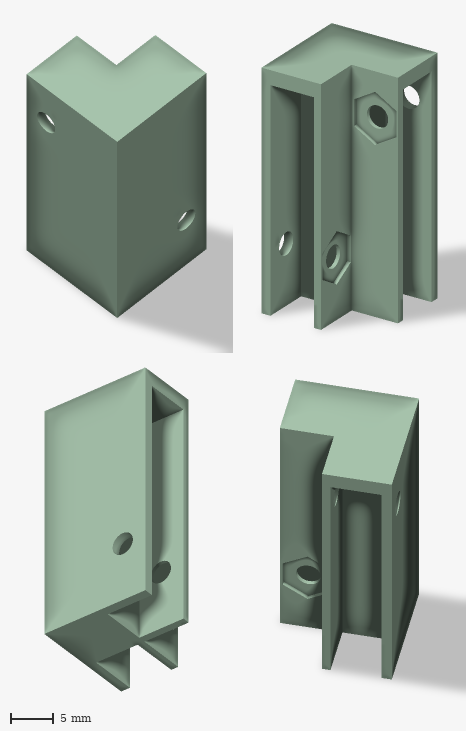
import cadquery as cq

side = 15.0
height = 32.0
arm = 8.45
notch = side - arm

outer_wall = 1.28
inner_wall = 1.02
slot_width = arm - outer_wall - inner_wall
slot_depth = notch
roof = 1.95

hole_diameter = 3.0
x_arm_hole_inset = 3.23
x_arm_hole_z = 25.85
y_arm_hole_inset = 3.35
y_arm_hole_z = 8.1

nut_across_corners = 6.95
nut_depth = 0.5


def l_block():
    block = cq.Workplane("XY").box(side, side, height, centered=False)
    corner = cq.Workplane("XY").box(notch, notch, height, centered=False)
    return block.cut(corner.translate((0, arm, 0)))


def arm_openings(hole_inset, hole_z):
    """Slot, screw hole and nut recess of the arm that ends at X = 0."""
    slot = cq.Workplane("XY").box(slot_depth, slot_width, height - roof, centered=False)
    slot = slot.translate((0, outer_wall, 0))

    hole = cq.Workplane("XZ").center(hole_inset, hole_z).circle(hole_diameter / 2).extrude(-arm)

    nut_plane = cq.Workplane("XZ", origin=(hole_inset, arm, hole_z))
    nut = nut_plane.transformed(rotate=(0, 0, 90)).polygon(6, nut_across_corners).extrude(nut_depth)
    return slot.union(hole).union(nut)


x_arm = arm_openings(x_arm_hole_inset, x_arm_hole_z)
y_arm = arm_openings(y_arm_hole_inset, y_arm_hole_z)

y_arm = y_arm.mirror("XZ").rotate((0, 0, 0), (0, 0, 1), -90).translate((side, side, 0))

result = l_block().cut(x_arm).cut(y_arm)